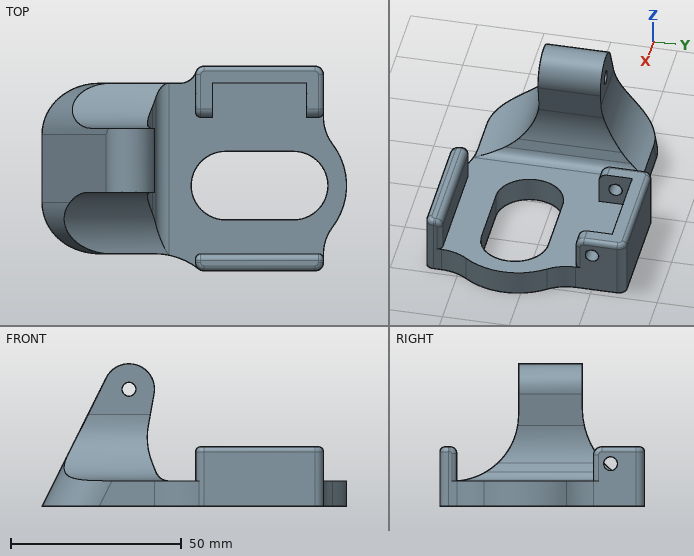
import cadquery as cq
import math

body_width = 50.0
side_y = body_width / 2
plate_thickness = 7.5

holder_start = 45.0
holder_length = 37.5
holder_end = holder_start + holder_length
holder_middle = holder_start + holder_length / 2
wall_thickness = 5.0
wall_height = 17.5
wall_outer_y = side_y + wall_thickness
arm_end_y = 15.0
arm_end_rounding = 2.5
low_wall_rounding = 2.0
wall_corner_radius = 2.5
wall_edge_radius = 1.5
pin_diameter = 4.0
arm_pin_y = 20.0
arm_pin_z = 12.5

slot_y = -5.0
slot_length = 40.0
slot_width = 20.0
nose_tip = 89.27
nose_radius = 20.0
nose_blend_radius = 13.0

left_blend_radius = 5.0
right_blend_radius = 21.0

hinge_x = 25.5
hinge_z = 34.32
hinge_radius = 7.5
post_top_z = hinge_z + hinge_radius
toe = (0.0, 0.0)
hinge = (hinge_x, hinge_z)
throat_x = 50.9
throat_z = 20.2
throat_radius = 20.0
foot_end_x = 37.15
foot_radius = 4.0
front_corner_radius = 15.0

post_left_y = 11.75
post_right_y = -6.95
left_flare_radius = 24.0
right_flare_radius = 19.4


def polar(centre, radius, angle):
    """Point on a circle, angle in radians from the first axis."""
    return (centre[0] + radius * math.cos(angle), centre[1] + radius * math.sin(angle))


def direction(start, end):
    """Angle of the line from start to end, in radians."""
    return math.atan2(end[1] - start[1], end[0] - start[0])


def slope_normal_angle():
    """Angle of the front slope's outward normal: the slope runs from the toe tangent to the barrel."""
    spread = math.acos(hinge_radius / math.dist(toe, hinge))
    return direction(hinge, toe) - spread + 2 * math.pi


def side_workplane():
    """XZ workplane on the +Y side; extruding from it runs toward -Y."""
    return cq.Workplane("XZ", origin=(0, side_y, 0))


def post_side_prism():
    """Full-width prism of the hinge post's side profile."""
    throat = (throat_x, throat_z)
    foot = (foot_end_x, plate_thickness + foot_radius)

    back_spread = math.acos((hinge_radius + throat_radius) / math.dist(hinge, throat))
    barrel_end = direction(hinge, throat) + back_spread
    throat_start = barrel_end + math.pi

    foot_spread = math.acos((throat_radius - foot_radius) / math.dist(foot, throat))
    throat_end = direction(throat, foot) - foot_spread + 2 * math.pi
    foot_end = 1.5 * math.pi

    return (
        side_workplane()
        .moveTo(*toe)
        .lineTo(*polar(hinge, hinge_radius, slope_normal_angle()))
        .threePointArc(
            polar(hinge, hinge_radius, math.pi / 2),
            polar(hinge, hinge_radius, barrel_end),
        )
        .lineTo(*polar(throat, throat_radius, throat_start))
        .threePointArc(
            polar(throat, throat_radius, (throat_start + throat_end) / 2),
            polar(throat, throat_radius, throat_end),
        )
        .lineTo(*polar(foot, foot_radius, throat_end))
        .threePointArc(
            polar(foot, foot_radius, (throat_end + foot_end) / 2),
            (foot_end_x, plate_thickness),
        )
        .lineTo(foot_end_x, 0)
        .close()
        .extrude(body_width)
    )


def sloped_front():
    """Slab behind the front slope, with both sloping front corners rounded."""
    slope_top_x = -post_top_z * math.tan(slope_normal_angle())
    slab = (
        side_workplane()
        .moveTo(*toe)
        .lineTo(slope_top_x, post_top_z)
        .lineTo(slope_top_x + foot_end_x, post_top_z)
        .lineTo(foot_end_x, 0)
        .close()
        .extrude(body_width)
    )
    return slab.faces("<X").edges("<Y or >Y").fillet(front_corner_radius)


def flare_points(post_y, radius, side):
    """Start, middle and end of the arc from the post side to the plate edge, seen along X."""
    centre_y = post_y + side * radius
    end_cos = (centre_y - side * side_y) / (side * radius)
    end_angle = math.acos(end_cos)
    centre_z = plate_thickness + radius * math.sin(end_angle)
    middle = (
        centre_y - side * radius * math.cos(end_angle / 2),
        centre_z - radius * math.sin(end_angle / 2),
    )
    return (post_y, centre_z), middle, (side * side_y, plate_thickness)


def post_cross_prism():
    """Prism along X of the post's flared outline."""
    left_start, left_middle, left_end = flare_points(post_left_y, left_flare_radius, 1)
    right_start, right_middle, right_end = flare_points(post_right_y, right_flare_radius, -1)
    return (
        cq.Workplane("YZ")
        .moveTo(-side_y, 0)
        .lineTo(side_y, 0)
        .lineTo(*left_end)
        .threePointArc(left_middle, left_start)
        .lineTo(post_left_y, post_top_z)
        .lineTo(post_right_y, post_top_z)
        .lineTo(*right_start)
        .threePointArc(right_middle, right_end)
        .close()
        .extrude(foot_end_x)
    )


def hinge_post():
    """Post with its rounded front, flared sides and hinge pin hole."""
    post = post_side_prism().intersect(sloped_front()).intersect(post_cross_prism())
    pin_hole = (
        side_workplane()
        .center(hinge_x, hinge_z)
        .circle(pin_diameter / 2)
        .extrude(body_width)
    )
    return post.cut(pin_hole)


def side_blend(radius, side):
    """Plate area between the body side and a holder corner, bounded by a tangent arc."""
    corner = (holder_start + wall_corner_radius, wall_outer_y - wall_corner_radius)
    centre_y = side_y + radius
    reach = radius + wall_corner_radius
    start_x = corner[0] - math.sqrt(reach**2 - (centre_y - corner[1]) ** 2)
    centre = (start_x, centre_y)
    end_angle = direction(centre, corner)
    start_angle = -math.pi / 2
    middle = polar(centre, radius, (start_angle + end_angle) / 2)
    end = polar(centre, radius, end_angle)
    return (
        cq.Workplane("XY")
        .moveTo(start_x, side * side_y)
        .threePointArc((middle[0], side * middle[1]), (end[0], side * end[1]))
        .lineTo(corner[0], side * corner[1])
        .lineTo(corner[0], 0)
        .lineTo(start_x, 0)
        .close()
        .extrude(plate_thickness)
    )


def nose():
    """Rounded end of the plate, blended into the holder's end face on both sides."""
    centre = (nose_tip - nose_radius, slot_y)
    blend_x = holder_end + nose_blend_radius
    rise = math.sqrt((nose_radius + nose_blend_radius) ** 2 - (blend_x - centre[0]) ** 2)
    upper = (blend_x, slot_y + rise)
    join_angle = direction(centre, upper)
    blend_angle = join_angle / 2 + math.pi
    join = polar(centre, nose_radius, join_angle)
    middle = polar(upper, nose_blend_radius, blend_angle)

    def mirrored(point):
        """Point reflected across the nose centreline."""
        return (point[0], 2 * slot_y - point[1])

    return (
        cq.Workplane("XY")
        .moveTo(holder_middle, upper[1])
        .lineTo(holder_end, upper[1])
        .threePointArc(middle, join)
        .threePointArc((nose_tip, slot_y), mirrored(join))
        .threePointArc(mirrored(middle), (holder_end, mirrored(upper)[1]))
        .lineTo(holder_middle, mirrored(upper)[1])
        .close()
        .extrude(plate_thickness)
    )


def block(x_start, x_end, y_start, y_end, height):
    """Box standing on the underside plane."""
    size = (x_end - x_start, y_end - y_start, height)
    return cq.Workplane("XY").box(*size, centered=False).translate((x_start, y_start, 0))


def plate():
    """Flat base: body, holder platform, side blends and nose."""
    body_start = foot_end_x - 2 * foot_radius
    body = block(body_start, holder_middle, -side_y, side_y, plate_thickness)
    holder = block(holder_start, holder_end, -wall_outer_y, wall_outer_y, plate_thickness)
    holder = holder.edges("|Z").fillet(wall_corner_radius)
    return (
        body.union(holder)
        .union(side_blend(left_blend_radius, 1))
        .union(side_blend(right_blend_radius, -1))
        .union(nose())
    )


def rounded_wall(inner_y, inner_rounding):
    """Upright block on the +Y side with rounded outer corners, inner top edge and outer rim."""
    wall = block(holder_start, holder_end, inner_y, wall_outer_y, wall_height)
    wall = wall.edges("|Z and >Y").fillet(wall_corner_radius)
    wall = wall.faces("<Y").edges(">Z").fillet(inner_rounding)
    return wall.faces("<X or >X").edges("not <Z").edges("not (|Z and >Y)").fillet(wall_edge_radius)


def arm_wall():
    """U-shaped +Y wall with a pin hole through both arms."""
    wall = rounded_wall(arm_end_y, arm_end_rounding)
    recess = block(
        holder_start + wall_thickness, holder_end - wall_thickness, arm_end_y, side_y, wall_height
    )
    pin_hole = (
        cq.Workplane("YZ", origin=(holder_start, 0, 0))
        .center(arm_pin_y, arm_pin_z)
        .circle(pin_diameter / 2)
        .extrude(holder_length)
    )
    return wall.cut(recess).cut(pin_hole)


def low_wall():
    """Plain -Y wall."""
    return rounded_wall(side_y, low_wall_rounding).mirror("XZ")


def slot():
    """Cutter for the long opening through the plate."""
    return (
        cq.Workplane("XY")
        .center(holder_middle, slot_y)
        .slot2D(slot_length, slot_width)
        .extrude(plate_thickness)
    )


result = plate().union(hinge_post()).union(arm_wall()).union(low_wall()).cut(slot())